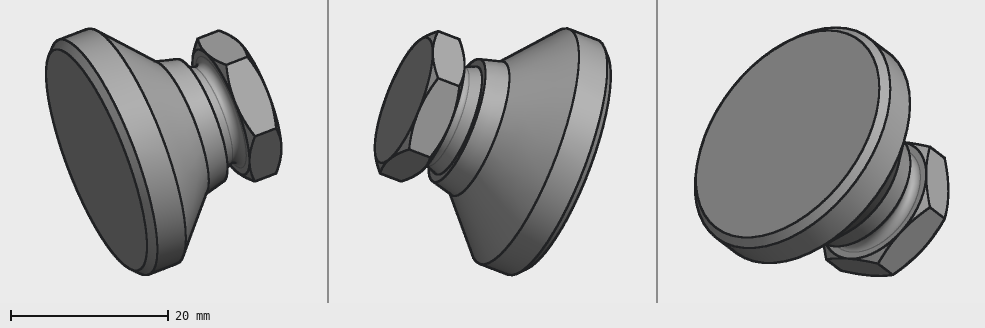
import cadquery as cq
import math

total_length = 22.0

foot_radius = 16.0
foot_chamfer = 1.0
foot_height = 5.0
cone_top_radius = 9.12
cone_top_height = 11.5

collar_top_radius = 8.35
collar_top_height = 14.5

neck_base_radius = 7.33
groove_start_height = 16.0
groove_radius = 1.0
groove_center_radius = 7.55

hex_across_flats = 17.0
hex_height = 4.5
hex_chamfer_angle = 30.0

hex_base_height = total_length - hex_height
base_y = -total_length / 2


def foot_and_neck():
    """Revolve the body from the foot face to the underside of the hexagon."""
    groove_center_height = hex_base_height - groove_radius
    start_drop = groove_center_height - groove_start_height
    groove_start_radius = groove_center_radius - math.sqrt(groove_radius**2 - start_drop**2)
    groove_bottom_radius = groove_center_radius - groove_radius
    return (
        cq.Workplane("XY")
        .moveTo(0, 0)
        .lineTo(foot_radius - foot_chamfer, 0)
        .lineTo(foot_radius, foot_chamfer)
        .lineTo(foot_radius, foot_height)
        .lineTo(cone_top_radius, cone_top_height)
        .lineTo(collar_top_radius, collar_top_height)
        .lineTo(neck_base_radius, collar_top_height)
        .lineTo(groove_start_radius, groove_start_height)
        .threePointArc(
            (groove_bottom_radius, groove_center_height),
            (groove_center_radius, hex_base_height),
        )
        .lineTo(0, hex_base_height)
        .close()
        .revolve(360, (0, 0, 0), (0, 1, 0))
    )


def hex_head():
    """Hexagonal prism trimmed at both ends by chamfer cones that meet the flats."""
    inner_radius = hex_across_flats / 2
    corner_radius = inner_radius / math.cos(math.pi / 6)
    chamfer_height = (corner_radius - inner_radius) * math.tan(math.radians(hex_chamfer_angle))

    prism = (
        cq.Workplane("XZ", origin=(0, hex_base_height, 0))
        .transformed(rotate=(0, 0, 90))
        .polygon(6, 2 * corner_radius)
        .extrude(-hex_height)
    )
    envelope = (
        cq.Workplane("XY")
        .moveTo(0, hex_base_height)
        .lineTo(inner_radius, hex_base_height)
        .lineTo(corner_radius, hex_base_height + chamfer_height)
        .lineTo(corner_radius, total_length - chamfer_height)
        .lineTo(inner_radius, total_length)
        .lineTo(0, total_length)
        .close()
        .revolve(360, (0, 0, 0), (0, 1, 0))
    )
    return prism.intersect(envelope)


result = foot_and_neck().union(hex_head()).translate((0, base_y, 0))